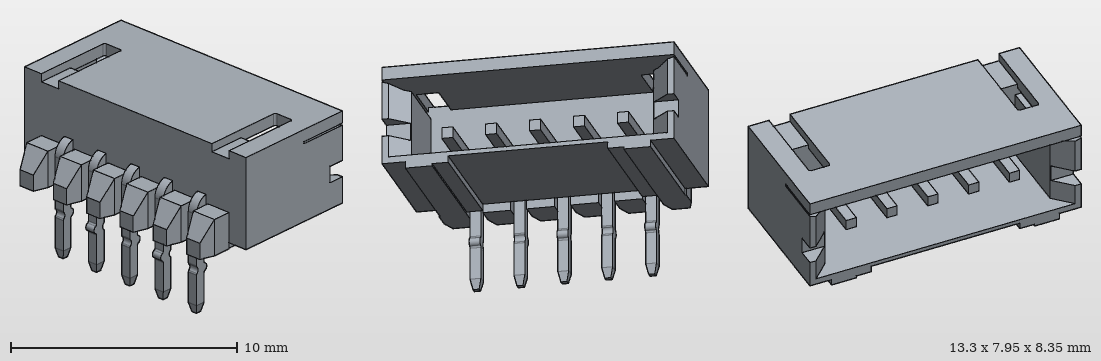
import cadquery as cq
import math


PIN_COUNT = 5
PITCH = 2.0
PIN_SIZE = 0.5
PIN_AXIS_Y = -0.365
PIN_AXIS_Z = 2.0
PIN_BACK_Y = 5.0
PIN_BEND_RADIUS = 0.8
PIN_BOTTOM_Z = -3.5
TIP_LENGTH = 0.46
TIP_SIZE = 0.28
KINK_Z = -1.31
KINK_BULGE = 0.17
KINK_BULGE_WIDTH = 0.4
KINK_DENT = 0.1
KINK_DENT_WIDTH = 0.36
KINK_BLEND_RADIUS = 0.1

LENGTH = 13.3
DEPTH = 6.3
HEIGHT = 4.85
END_UNDERSIDE_Z = 0.3
MIDDLE_UNDERSIDE_Z = 0.4
FOOT_INSET = 0.05
WEB_UNDERSIDE_Z = 0.1

LOWER_SIDE_WALL = 1.13
UPPER_SIDE_WALL = 0.83
MOUTH_SIDE_WALL = 0.3
FRONT_WALL = 1.9
CEILING = 0.6
CAVITY_FLOOR_Z = 0.6
LEDGE_DROP = 0.35

SLIT_HEIGHT = 0.1
SLIT_DEPTH = 2.5
NOTCH_SIZE = 0.8
NOTCH_Z = 2.0

SLOT_WIDTH = 1.03
SLOT_LENGTH = 4.13
SLOT_STEP_DEPTH = 0.4
SLOT_CORNER_RADIUS = 0.1

BLOCK_WIDTH = 1.27
BLOCK_HEIGHT = 1.8
BLOCK_STRAIGHT = 0.95
BLOCK_LENGTH = 1.65
NOSE_WIDTH = 0.8
NOSE_HEIGHT = 0.8

pin_positions = [(i - (PIN_COUNT - 1) / 2) * PITCH for i in range(PIN_COUNT)]
block_positions = [(i - PIN_COUNT / 2) * PITCH for i in range(PIN_COUNT + 1)]
end_block_x = block_positions[-1]
block_row_x = end_block_x + BLOCK_WIDTH / 2
web_inner_x = block_positions[-2] + BLOCK_WIDTH / 2
ceiling_z = HEIGHT - CEILING
ledge_z = ceiling_z - LEDGE_DROP


def box(x_range, y_range, z_range):
    """Box between two limits along each axis."""
    size = [high - low for low, high in (x_range, y_range, z_range)]
    corner = (x_range[0], y_range[0], z_range[0])
    return cq.Workplane("XY").box(*size, centered=False).translate(corner)


def make_cavity():
    """Cavity with a ledge along each side wall and side walls flared at the mouth."""
    lower_x = LENGTH / 2 - LOWER_SIDE_WALL
    upper_x = LENGTH / 2 - UPPER_SIDE_WALL
    mouth_x = LENGTH / 2 - MOUTH_SIDE_WALL
    depth_range = (FRONT_WALL, DEPTH)
    lower = box((-lower_x, lower_x), depth_range, (CAVITY_FLOOR_Z, ceiling_z))
    upper = box((-upper_x, upper_x), depth_range, (ledge_z, ceiling_z))
    flare_y = DEPTH - (mouth_x - lower_x)
    flare_plan = [(-lower_x, flare_y), (lower_x, flare_y), (mouth_x, DEPTH), (-mouth_x, DEPTH)]
    flare = cq.Workplane("XY").workplane(offset=CAVITY_FLOOR_Z).polyline(flare_plan).close()
    return lower.union(upper).union(flare.extrude(ceiling_z - CAVITY_FLOOR_Z))


def make_housing():
    """Shell open at the back, standing on a foot and a shallow web at each end."""
    half = LENGTH / 2
    depth_range = (0, DEPTH)
    housing = box((-half, half), depth_range, (END_UNDERSIDE_Z, HEIGHT))
    recess = box((-web_inner_x, web_inner_x), depth_range, (0, MIDDLE_UNDERSIDE_Z))
    housing = housing.cut(recess)
    foot_inner_x = block_row_x - BLOCK_WIDTH
    foot_outer_x = block_row_x - FOOT_INSET
    foot = box((foot_inner_x, foot_outer_x), depth_range, (0, END_UNDERSIDE_Z))
    web = box((web_inner_x, foot_inner_x), depth_range, (WEB_UNDERSIDE_Z, END_UNDERSIDE_Z))
    support = foot.union(web)
    housing = housing.union(support).union(support.mirror("YZ"))
    return housing.cut(make_cavity())


def make_slit():
    """Slit under the ceiling in the +X side wall; its floor slopes down to the ledge."""
    outer_x = LENGTH / 2
    inner_x = outer_x - UPPER_SIDE_WALL
    section = [
        (outer_x, ceiling_z),
        (outer_x, ceiling_z - SLIT_HEIGHT),
        (inner_x, ledge_z),
        (inner_x, ceiling_z),
    ]
    slit = cq.Workplane("XZ").polyline(section).close().extrude(-SLIT_DEPTH)
    return slit.translate((0, DEPTH - SLIT_DEPTH, 0))


def make_notch():
    """Square notch open at the back, through both side walls."""
    across = (-LENGTH / 2, LENGTH / 2)
    z_range = (NOTCH_Z - NOTCH_SIZE / 2, NOTCH_Z + NOTCH_SIZE / 2)
    return box(across, (DEPTH - NOTCH_SIZE, DEPTH), z_range)


def make_top_slot():
    """Slot at the +X end: a shallow step over the front wall, then open into the cavity."""
    slot_x = (block_row_x - SLOT_WIDTH, block_row_x)
    step = box(slot_x, (0, SLOT_LENGTH), (HEIGHT - SLOT_STEP_DEPTH, HEIGHT))
    opening = box(slot_x, (FRONT_WALL, SLOT_LENGTH), (ceiling_z, HEIGHT))
    return step.union(opening).edges("|Z and >Y").fillet(SLOT_CORNER_RADIUS)


def make_block():
    """Block on the front face whose nose slopes down and narrows."""
    side_outline = [
        (0, 0),
        (-BLOCK_LENGTH, 0),
        (-BLOCK_LENGTH, NOSE_HEIGHT),
        (-BLOCK_STRAIGHT, BLOCK_HEIGHT),
        (0, BLOCK_HEIGHT),
    ]
    half_plan = [
        (0, 0),
        (BLOCK_WIDTH / 2, 0),
        (BLOCK_WIDTH / 2, -BLOCK_STRAIGHT),
        (NOSE_WIDTH / 2, -BLOCK_LENGTH),
        (0, -BLOCK_LENGTH),
    ]
    side = cq.Workplane("YZ").polyline(side_outline).close().extrude(BLOCK_WIDTH / 2, both=True)
    plan = cq.Workplane("XY").polyline(half_plan).mirrorY().extrude(BLOCK_HEIGHT)
    return side.intersect(plan)


def make_kink_segment(width, height):
    """Circular segment running along X, with a vertical chord and rising toward +Y."""
    outline = cq.Workplane("YZ").moveTo(0, -width / 2).threePointArc((height, 0), (0, width / 2)).close()
    return outline.extrude(PIN_SIZE / 2, both=True)


def make_leg(kink_direction):
    """Vertical leg with a tapered tip and a kink toward +Y (1) or -Y (-1)."""
    half = PIN_SIZE / 2
    tip_top_z = PIN_BOTTOM_Z + TIP_LENGTH
    bend_z = PIN_AXIS_Z + half - PIN_BEND_RADIUS
    leg = box((-half, half), (-half, half), (tip_top_z, bend_z))
    bulge = make_kink_segment(KINK_BULGE_WIDTH, KINK_BULGE).translate((0, half, KINK_Z))
    dent = make_kink_segment(KINK_DENT_WIDTH, KINK_DENT).translate((0, -half, KINK_Z))
    leg = leg.union(bulge).cut(dent)
    for side in (-half, half):
        kink_ends = cq.selectors.BoxSelector(
            (-half, side - KINK_DENT / 2, KINK_Z - KINK_BULGE_WIDTH),
            (half, side + KINK_DENT / 2, KINK_Z + KINK_BULGE_WIDTH),
        )
        leg = leg.edges("|X").edges(kink_ends).fillet(KINK_BLEND_RADIUS)
    if kink_direction < 0:
        leg = leg.mirror("XZ")
    taper = math.degrees(math.atan((PIN_SIZE - TIP_SIZE) / 2 / TIP_LENGTH))
    tip = cq.Workplane("XY").workplane(offset=tip_top_z).rect(PIN_SIZE, PIN_SIZE)
    return leg.union(tip.extrude(-TIP_LENGTH, taper=taper)).translate((0, PIN_AXIS_Y, 0))


def make_pin(kink_direction):
    """Right-angle pin: horizontal leg, rounded bend and vertical leg."""
    half = PIN_SIZE / 2
    front_y = PIN_AXIS_Y - half
    top_z = PIN_AXIS_Z + half
    bend_y = front_y + PIN_BEND_RADIUS
    bend_z = top_z - PIN_BEND_RADIUS
    diagonal = math.sqrt(0.5)
    inner_radius = PIN_BEND_RADIUS - PIN_SIZE
    upper = (
        cq.Workplane("YZ")
        .moveTo(front_y, bend_z)
        .threePointArc(
            (bend_y - PIN_BEND_RADIUS * diagonal, bend_z + PIN_BEND_RADIUS * diagonal),
            (bend_y, top_z),
        )
        .lineTo(PIN_BACK_Y, top_z)
        .lineTo(PIN_BACK_Y, top_z - PIN_SIZE)
        .lineTo(bend_y, top_z - PIN_SIZE)
        .threePointArc(
            (bend_y - inner_radius * diagonal, bend_z + inner_radius * diagonal),
            (front_y + PIN_SIZE, bend_z),
        )
        .close()
        .extrude(half, both=True)
    )
    return upper.union(make_leg(kink_direction))


slot = make_top_slot()
slit = make_slit()
part = make_housing().cut(make_notch())
for cutter in (slot, slit):
    part = part.cut(cutter).cut(cutter.mirror("YZ"))

block = make_block()
for x in block_positions:
    part = part.union(block.translate((x, 0, 0)))

for index, x in enumerate(pin_positions):
    direction = 1 if index % 2 == 0 else -1
    part = part.union(make_pin(direction).translate((x, 0, 0)))

result = part